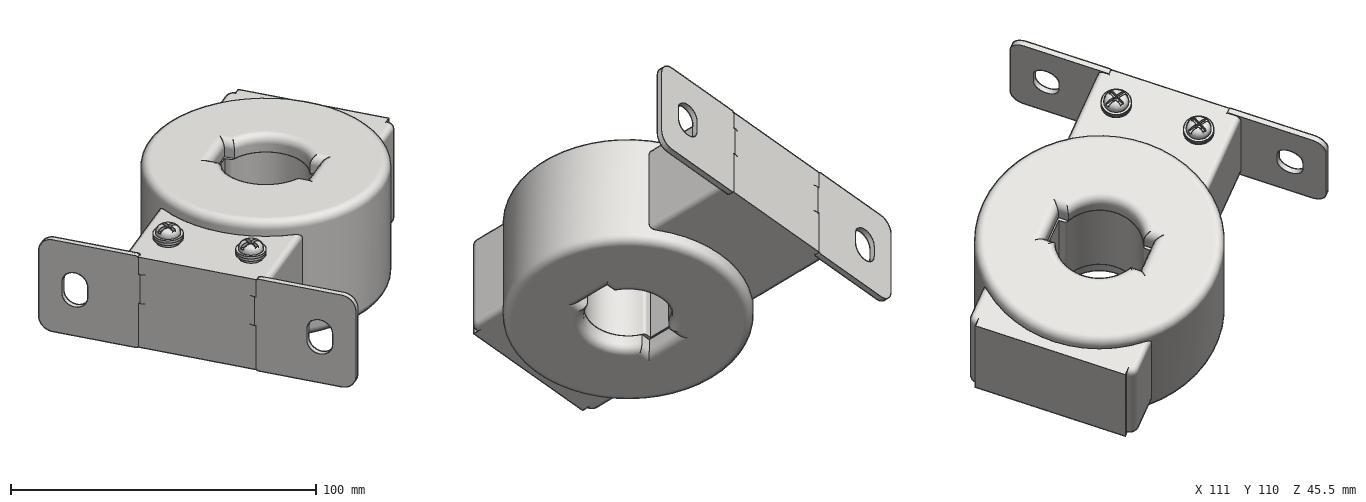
import cadquery as cq


RING_RADIUS = 41.0
RING_HEIGHT = 45.0
RIM_FILLET = 3.0

MOUTH_DEPTH = 6.1
MOUTH_BORE_RADIUS = 14.5
MOUTH_SLOT_LENGTH = 33.5
MOUTH_SLOT_WIDTH = 12.0
SLOT_END_STEP = 0.5
SLOT_SIDE_STEP = 1.0
BORE_STEP = 0.05
THROAT_CORNER_RADIUS = 1.3

NECK_WIDTH = 50.1
NECK_HEIGHT = 34.3
MOUNTING_FACE_Y = -65.5
BLOCK_FILLET = 2.0

REAR_WIDTH = 58.8
REAR_HEIGHT = 37.3
REAR_END_Y = 43.5
REAR_CORNER_RADIUS = 3.0
PAD_WIDTH = 52.7
PAD_THICKNESS = 1.0

FEET_SPAN = 111.0
FEET_CENTRE_X = 0.5
FOOT_GAP = 41.1
FOOT_HEIGHT = 35.0
FOOT_THICKNESS = 2.0
FOOT_OUTER_RADIUS = 5.0
FOOT_INNER_RADIUS = 1.0
FOOT_SLOT_SPACING = 85.7
FOOT_SLOT_WIDTH = 9.0
FOOT_SLOT_LENGTH = 13.0
TONGUE_BOTTOM_Z = -0.4
TONGUE_TOP_Z = 10.5
TONGUE_REACH = 0.4
TONGUE_BEND_RADIUS = 4.0

SCREW_SPACING = 29.0
SCREW_Y = -52.5
BOSS_RADIUS = 4.0
BOSS_HEIGHT = 1.3
WASHER_RADIUS = 5.0
WASHER_THICKNESS = 0.9
SHANK_RADIUS = 2.0
SHANK_DEPTH = 6.7
HEAD_RADIUS = 4.1
HEAD_HEIGHT = 2.7
HEAD_FILLET = 2.2
DRIVE_ANGLE = 60
DRIVE_WIDTH = 1.2
DRIVE_DEPTH = 1.3
DRIVE_CROSS_LENGTH = 6.2
SOCKET_RADIUS = 1.0
SOCKET_DEPTH = 2.1

BOSS_TOP_Z = NECK_HEIGHT / 2 + BOSS_HEIGHT
WASHERS_TOP_Z = BOSS_TOP_Z + 2 * WASHER_THICKNESS
SCREW_POINTS = [(side * SCREW_SPACING / 2, SCREW_Y) for side in (-1, 1)]


def disc(radius, bottom_z, height, centre=(0, 0)):
    """Upright cylinder standing on bottom_z."""
    return cq.Workplane("XY", origin=(*centre, bottom_z)).circle(radius).extrude(height)


def block(width, height, start_y, end_y):
    """Box centred on X and Z that runs from start_y to end_y."""
    length = end_y - start_y
    return cq.Workplane("XY").box(width, length, height).translate((0, start_y + length / 2, 0))


def window_section(bore_radius, slot_length, slot_width, height):
    """Upright prism of the window outline, centred on the origin."""
    bore = disc(bore_radius, -height / 2, height)
    return bore.union(cq.Workplane("XY").box(slot_length, slot_width, height))


def make_ring():
    """Ring with a stepped window and a rounded rim around every end edge."""
    mouth = window_section(MOUTH_BORE_RADIUS, MOUTH_SLOT_LENGTH, MOUTH_SLOT_WIDTH, RING_HEIGHT)
    ring = disc(RING_RADIUS, -RING_HEIGHT / 2, RING_HEIGHT).cut(mouth)
    return ring.faces("|Z").edges().fillet(RIM_FILLET)


def make_throat():
    """Material around the narrower middle of the window."""
    height = RING_HEIGHT - 2 * MOUTH_DEPTH
    slot_length = MOUTH_SLOT_LENGTH - 2 * SLOT_END_STEP
    slot_width = MOUTH_SLOT_WIDTH - 2 * SLOT_SIDE_STEP
    opening = window_section(MOUTH_BORE_RADIUS - BORE_STEP, slot_length, slot_width, height)
    around_bore = cq.selectors.BoxSelector(
        (-MOUTH_BORE_RADIUS, -slot_width, -height), (MOUTH_BORE_RADIUS, slot_width, height)
    )
    opening = opening.edges("|Z").edges(around_bore).fillet(THROAT_CORNER_RADIUS)
    return disc(MOUTH_SLOT_LENGTH / 2 + RIM_FILLET, -height / 2, height).cut(opening)


def make_neck():
    neck = block(NECK_WIDTH, NECK_HEIGHT, MOUNTING_FACE_Y, 0)
    return neck.edges("|Y").fillet(BLOCK_FILLET)


def make_rear_block():
    body = block(REAR_WIDTH, REAR_HEIGHT, 0, REAR_END_Y)
    body = body.edges("|Z and >Y").fillet(REAR_CORNER_RADIUS)
    body = body.faces("|Z").edges("not <Y").fillet(BLOCK_FILLET)
    pad = block(PAD_WIDTH, REAR_HEIGHT, REAR_END_Y - REAR_CORNER_RADIUS, REAR_END_Y + PAD_THICKNESS)
    return body.union(pad)


def make_housing():
    """Housing before the feet and the screw shanks are let into it."""
    core = disc(RING_RADIUS - RIM_FILLET, -RING_HEIGHT / 2, RING_HEIGHT)
    blocks = make_neck().union(make_rear_block()).cut(core)
    housing = make_ring().union(blocks).union(make_throat())
    for point in SCREW_POINTS:
        housing = housing.union(disc(BOSS_RADIUS, NECK_HEIGHT / 2, BOSS_HEIGHT, point))
    return housing


def make_tongue(edge_x):
    """Tongue on the right foot that bends back from the mounting face into the housing."""
    inner_radius = TONGUE_BEND_RADIUS - FOOT_THICKNESS
    bend_x = edge_x - TONGUE_REACH
    bend_y = MOUNTING_FACE_Y + TONGUE_BEND_RADIUS
    diagonal = 0.5**0.5
    outline = (
        cq.Workplane("XY", origin=(0, 0, TONGUE_BOTTOM_Z))
        .moveTo(edge_x, MOUNTING_FACE_Y)
        .lineTo(bend_x, MOUNTING_FACE_Y)
        .threePointArc(
            (bend_x - TONGUE_BEND_RADIUS * diagonal, bend_y - TONGUE_BEND_RADIUS * diagonal),
            (bend_x - TONGUE_BEND_RADIUS, bend_y),
        )
        .lineTo(bend_x - inner_radius, bend_y)
        .threePointArc(
            (bend_x - inner_radius * diagonal, bend_y - inner_radius * diagonal),
            (bend_x, bend_y - inner_radius),
        )
        .lineTo(edge_x, MOUNTING_FACE_Y + FOOT_THICKNESS)
        .close()
    )
    return outline.extrude(TONGUE_TOP_Z - TONGUE_BOTTOM_Z)


def make_foot(side):
    """Flat slotted foot on the +X side (side=1) or the -X side (side=-1)."""
    inner_x = FOOT_GAP / 2
    length = FEET_SPAN / 2 - inner_x
    centre = (inner_x + length / 2, MOUNTING_FACE_Y + FOOT_THICKNESS / 2, 0)
    foot = cq.Workplane("XY").box(length, FOOT_THICKNESS, FOOT_HEIGHT).translate(centre)
    foot = foot.edges("|Y and >X").fillet(FOOT_OUTER_RADIUS)
    foot = foot.edges("|Y and <X").fillet(FOOT_INNER_RADIUS)
    slot = (
        cq.Workplane("XZ", origin=(FOOT_SLOT_SPACING / 2, MOUNTING_FACE_Y, 0))
        .slot2D(FOOT_SLOT_LENGTH, FOOT_SLOT_WIDTH, 90)
        .extrude(FOOT_THICKNESS, both=True)
    )
    foot = foot.cut(slot).union(make_tongue(inner_x))
    if side < 0:
        foot = foot.mirror("YZ")
    return foot.translate((FEET_CENTRE_X, 0, 0))


def make_washer(point, bottom_z):
    washer = disc(WASHER_RADIUS, bottom_z, WASHER_THICKNESS, point)
    return washer.cut(disc(SHANK_RADIUS, bottom_z, WASHER_THICKNESS, point))


def make_shank(point):
    bottom_z = NECK_HEIGHT / 2 - SHANK_DEPTH
    return disc(SHANK_RADIUS, bottom_z, WASHERS_TOP_Z - bottom_z, point)


def make_drive_groove(point, top_z, length, angle):
    """Straight groove across the screw head, turned about the screw axis."""
    groove = cq.Workplane("XY", origin=(0, 0, top_z)).rect(length, DRIVE_WIDTH).extrude(-DRIVE_DEPTH)
    return groove.rotate((0, 0, 0), (0, 0, 1), angle).translate((*point, 0))


def make_screw(point):
    """Domed screw with a combined slot and cross drive."""
    top_z = WASHERS_TOP_Z + HEAD_HEIGHT
    head = disc(HEAD_RADIUS, WASHERS_TOP_Z, HEAD_HEIGHT, point).faces(">Z").edges().fillet(HEAD_FILLET)
    head = head.cut(make_drive_groove(point, top_z, 2 * HEAD_RADIUS, DRIVE_ANGLE))
    head = head.cut(make_drive_groove(point, top_z, DRIVE_CROSS_LENGTH, DRIVE_ANGLE + 90))
    head = head.cut(disc(SOCKET_RADIUS, top_z - SOCKET_DEPTH, SOCKET_DEPTH, point))
    return head.union(make_shank(point))


feet = [make_foot(side) for side in (-1, 1)]
screws = [make_screw(point) for point in SCREW_POINTS]
flat_washers = [make_washer(point, BOSS_TOP_Z) for point in SCREW_POINTS]
spring_washers = [make_washer(point, BOSS_TOP_Z + WASHER_THICKNESS) for point in SCREW_POINTS]

housing = make_housing()
for foot in feet:
    housing = housing.cut(foot)
for point in SCREW_POINTS:
    housing = housing.cut(make_shank(point))

bodies = [housing, *feet, *screws, *flat_washers, *spring_washers]
result = cq.Compound.makeCompound([body.solids().val() for body in bodies])